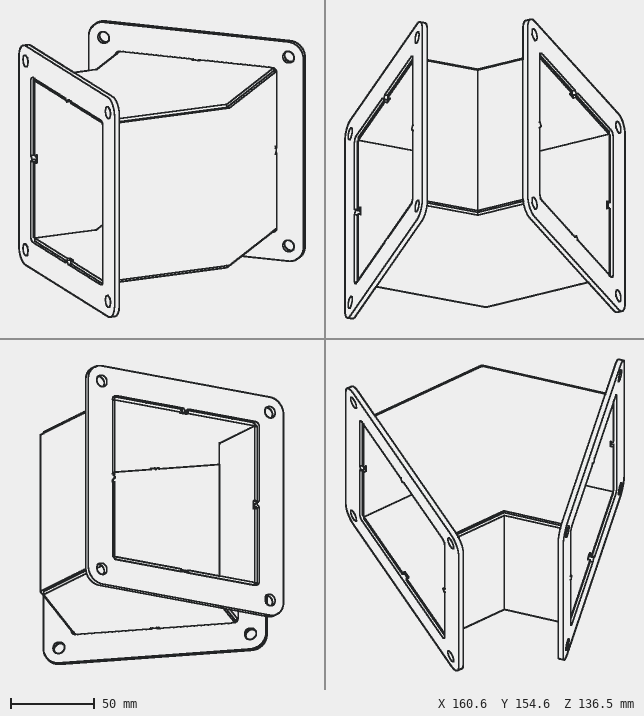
import cadquery as cq
import math

FLANGE_SIZE = 136.5
FLANGE_THICKNESS = 3.2
FLANGE_CORNER_RADIUS = 9.5
BOLT_HOLE_DIAMETER = 7.0
BOLT_PITCH = FLANGE_SIZE - 2 * FLANGE_CORNER_RADIUS
OPENING_CORNER_RADIUS = 2.9

DUCT_SIZE = 101.8
SHEET_THICKNESS = 2.0
BEND_ANGLE = math.radians(45)
LEG_LENGTH = 62.3
DUCT_INNER_SIZE = DUCT_SIZE - 2 * SHEET_THICKNESS

FIT_GAP = 0.3
OPENING_SIZE = DUCT_SIZE + 2 * FIT_GAP
SHEET_RECESS = FLANGE_THICKNESS / 2

TAB_HEIGHT = SHEET_THICKNESS
TAB_WIDTH = 2 * TAB_HEIGHT
NOTCH_WIDTH = 4.8

SIDE_ANGLES = (0, 90, 180, 270)
INLET_PLAIN_SIDE = 0
OUTLET_PLAIN_SIDE = 270

INLET = cq.Plane(origin=(0, 0, 0), xDir=(1, 0, 0), normal=(0, 1, 0))
OUTLET = cq.Plane(
    origin=(-LEG_LENGTH * math.sin(BEND_ANGLE), LEG_LENGTH * (1 + math.cos(BEND_ANGLE)), 0),
    xDir=(math.cos(BEND_ANGLE), math.sin(BEND_ANGLE), 0),
    normal=(math.sin(BEND_ANGLE), -math.cos(BEND_ANGLE), 0),
)


def end_point(plane, offset):
    """XY point at a sheet end, at a signed distance across the duct from its axis."""
    point = plane.toWorldCoords((offset, 0, SHEET_RECESS))
    return (point.x, point.y)


def bend_point(offset):
    """XY point on the mitre line of the bend, at a signed distance from the duct axis."""
    return (offset, LEG_LENGTH + offset * math.tan(BEND_ANGLE / 2))


def make_notch_cutter(plane):
    """Cross of two bars that notches the middle of all four sheet ends at one flange."""
    depth = FLANGE_THICKNESS - SHEET_RECESS
    workplane = cq.Workplane(plane).workplane(offset=SHEET_RECESS)
    bar_across = workplane.rect(FLANGE_SIZE, NOTCH_WIDTH).extrude(depth)
    bar_upright = workplane.rect(NOTCH_WIDTH, FLANGE_SIZE).extrude(depth)
    return bar_across.union(bar_upright)


def cut_end_notches(sheet):
    return sheet.cut(make_notch_cutter(INLET)).cut(make_notch_cutter(OUTLET))


def make_tab_face(angle):
    """Triangle pointing from one side of the opening towards the duct axis."""
    base = OPENING_SIZE / 2
    triangle = cq.Wire.makePolygon(
        [
            cq.Vector(base, -TAB_WIDTH / 2),
            cq.Vector(base - TAB_HEIGHT, 0),
            cq.Vector(base, TAB_WIDTH / 2),
        ],
        close=True,
    )
    return cq.Face.makeFromWires(triangle.rotate(cq.Vector(), cq.Vector(0, 0, 1), angle))


def make_opening_profile(plain_side):
    """Square opening with a tab on every side but the plain one, given by its angle."""
    opening = cq.Sketch().rect(OPENING_SIZE, OPENING_SIZE).vertices().fillet(OPENING_CORNER_RADIUS).reset()
    for angle in SIDE_ANGLES:
        if angle != plain_side:
            opening.face(make_tab_face(angle), mode="s")
    return opening


def make_flange(plane, plain_side):
    """Square plate with four corner bolt holes and a tabbed opening."""
    profile = (
        cq.Sketch()
        .rect(FLANGE_SIZE, FLANGE_SIZE)
        .vertices()
        .fillet(FLANGE_CORNER_RADIUS)
        .reset()
        .rarray(BOLT_PITCH, BOLT_PITCH, 2, 2)
        .circle(BOLT_HOLE_DIAMETER / 2, mode="s")
        .reset()
        .face(make_opening_profile(plain_side), mode="s")
    )
    return cq.Workplane(plane).placeSketch(profile).extrude(FLANGE_THICKNESS)


def make_cover(bottom_z):
    """Flat sheet above or below the passage, as wide as the space between the walls."""
    half_width = DUCT_INNER_SIZE / 2
    cover = (
        cq.Workplane("XY", origin=(0, 0, bottom_z))
        .moveTo(*end_point(INLET, -half_width))
        .lineTo(*end_point(INLET, half_width))
        .lineTo(*bend_point(half_width))
        .lineTo(*end_point(OUTLET, half_width))
        .lineTo(*end_point(OUTLET, -half_width))
        .lineTo(*bend_point(-half_width))
        .close()
        .extrude(SHEET_THICKNESS)
    )
    return cut_end_notches(cover)


def make_bent_wall(offset):
    """Upright sheet bent around a sharp edge; offset places its face on the inside of the bend."""
    outside_offset = offset + SHEET_THICKNESS
    bend_x, bend_y = bend_point(offset)

    def arc_point(angle):
        return (bend_x + SHEET_THICKNESS * math.cos(angle), bend_y + SHEET_THICKNESS * math.sin(angle))

    wall = (
        cq.Workplane("XY")
        .moveTo(*end_point(INLET, offset))
        .lineTo(*end_point(INLET, outside_offset))
        .lineTo(*arc_point(0))
        .threePointArc(arc_point(BEND_ANGLE / 2), arc_point(BEND_ANGLE))
        .lineTo(*end_point(OUTLET, outside_offset))
        .lineTo(*end_point(OUTLET, offset))
        .lineTo(bend_x, bend_y)
        .close()
        .extrude(DUCT_INNER_SIZE / 2, both=True)
    )
    return cut_end_notches(wall)


flanges = [make_flange(INLET, INLET_PLAIN_SIDE), make_flange(OUTLET, OUTLET_PLAIN_SIDE)]
covers = [make_cover(bottom_z) for bottom_z in (-DUCT_SIZE / 2, DUCT_INNER_SIZE / 2)]
bent_walls = [make_bent_wall(offset) for offset in (-DUCT_SIZE / 2, DUCT_INNER_SIZE / 2)]

result = cq.Compound.makeCompound([body.val() for body in flanges + covers + bent_walls])